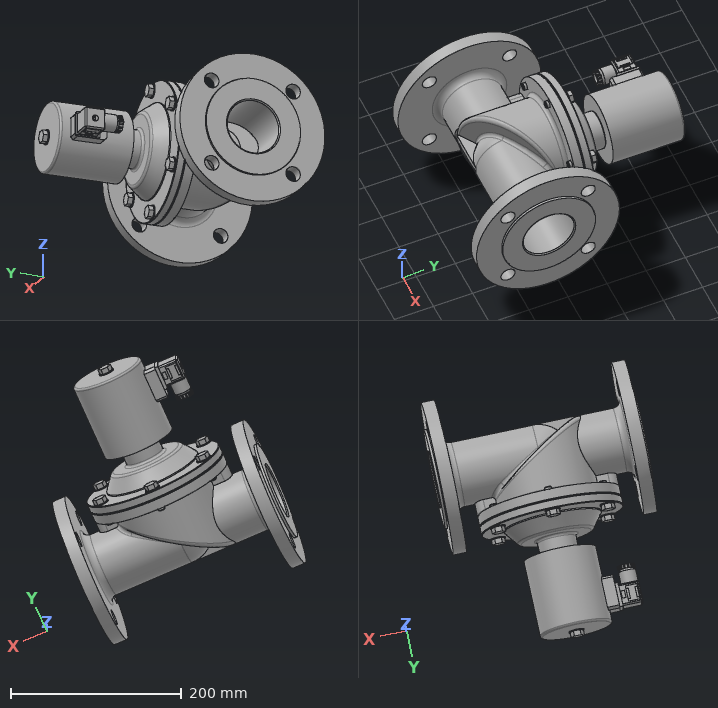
import cadquery as cq
import math


OVERALL_LENGTH = 250.0
OVERALL_HEIGHT = 309.0

PIPE_R = 38.5
WALL = 6.2
BORE_R = PIPE_R - WALL
BORE_CHAMFER = 1.5

FLANGE_R = 91.5
FLANGE_THICK = 16.0
RAISED_FACE_R = 59.3
RAISED_FACE_THICK = 3.0
PIPE_FILLET = 9.0
FLANGE_HOLE_D = 18.0
FLANGE_HOLE_OFFSET = 51.3
PIPE_END_X = OVERALL_LENGTH / 2
FLANGE_FACE_X = PIPE_END_X - RAISED_FACE_THICK
FLANGE_BACK_X = FLANGE_FACE_X - FLANGE_THICK

CHAMBER_R = 61.2
FLOOR_ANGLE = 33.5
FLOOR_Y = -0.5
RIM_FILLET = 4.5
INLET_TRIM = 1.5
FLOOR_FILLET = 4.3
GUSSET_THICK = 9.0
GUSSET_X = -54.7
STRUT_WIDTH = 21.0

COVER_R = 85.0
SEAT_FLANGE_Y = 54.5
SEAT_FLANGE_THICK = 11.7
SEAT_FLANGE_TOP = SEAT_FLANGE_Y + SEAT_FLANGE_THICK
NECK_FILLET = 5.0

GROOVE_DEPTH = 1.5
GROOVE_HEIGHT = 1.5
BONNET_Y = SEAT_FLANGE_TOP + GROOVE_HEIGHT
BONNET_FLANGE_TOP = 77.2
BONNET_TOP = 97.3
BONNET_EDGE_CHAMFER = 1.0
DOME_BASE_R = 58.0
DOME_STEP = 1.5
DOME_TOP_R = 44.5
DOME_FILLET = 5.3
STEM_R = 23.2
STEM_FILLET = 3.0
STEM_CHAMFER = 1.0

BOLT_D = 8.5
BOLT_END_Y = 50.0
BOLT_END_CHAMFER = 1.0
BOLT_CIRCLE_R = 75.7
BOLT_COUNT = 6
HEX_ACROSS_CORNERS = 16.0
HEX_HEIGHT = 6.2
WASHER_D = 18.0
WASHER_THICK = 1.0

COIL_R = 43.3
COIL_Y = 117.7
COIL_TOP = OVERALL_HEIGHT - FLANGE_R - HEX_HEIGHT - WASHER_THICK
COIL_FILLET = 2.5

SOCKET_X = -55.0
SOCKET_BOTTOM = 156.5
SOCKET_TOP = 196.8
SOCKET_WIDTH = 29.7
SOCKET_CHAMFER = 3.0
GASKET_X = -59.0
GASKET_BOTTOM = 167.0
GASKET_TOP = 196.0
GASKET_WIDTH = 28.5
PLUG_X = -83.0
PLUG_BOTTOM = 169.3
PLUG_TOP = 195.0
PLUG_WIDTH = 26.5
PLUG_CHAMFER = 2.0
PLUG_MID_Y = (PLUG_BOTTOM + PLUG_TOP) / 2
SCREW_RECESS_D = 7.0
SCREW_RECESS_DEPTH = 1.2
SCREW_HOLE_D = 3.7
SCREW_HOLE_DEPTH = 4.5
GRIP_X = -73.2
GRIP_LENGTH = 18.5
GRIP_WIDTH = 13.5
GRIP_DEPTH = 0.5
GRIP_SLOT_LENGTH = 12.5
GRIP_SLOT_WIDTH = 2.8
GRIP_SLOT_DEPTH = 2.0
TAB_X = -62.0
TAB_WIDTH = 4.3
TAB_LENGTH = 8.5
TAB_HEIGHT = 0.5
GLAND_R = 10.5
GLAND_X = PLUG_X + GLAND_R
GLAND_BOTTOM = 154.2
WAIST_R = 8.0
NUT_TOP = 151.5
NUT_BOTTOM = 146.5
NUT_NOTCHES = 12
NUT_NOTCH_R = 9.5
NUT_NOTCH_WIDTH = 1.5
NUT_NOTCH_DEPTH = 1.2
CABLE_HOLE_R = 6.0
CABLE_HOLE_DEPTH = 12.5


def cylinder_x(radius, x_start, x_end, y=0, z=0):
    return cq.Workplane("YZ", origin=(x_start, y, z)).circle(radius).extrude(x_end - x_start)


def cylinder_y(radius, y_start, y_end, x=0, z=0):
    return cq.Workplane("XZ", origin=(x, y_start, z)).circle(radius).extrude(y_start - y_end)


def box_between(x_start, x_end, y_start, y_end, width):
    """Box centred on z = 0."""
    height = y_end - y_start
    centre = ((x_start + x_end) / 2, (y_start + y_end) / 2, 0)
    return cq.Workplane("XY", origin=centre).box(x_end - x_start, height, width)


def bolt_places():
    """(x, z) of each bolt axis."""
    places = []
    for i in range(BOLT_COUNT):
        angle = math.radians(90 + i * 360 / BOLT_COUNT)
        places.append((BOLT_CIRCLE_R * math.cos(angle), BOLT_CIRCLE_R * math.sin(angle)))
    return places


def hex_on_washer(x, y, z):
    """Washer lying at height y with a hexagon on it, corners pointing along X."""
    washer = cylinder_y(WASHER_D / 2, y, y + WASHER_THICK, x, z)
    hexagon = (
        cq.Workplane("XZ", origin=(x, y + WASHER_THICK, z))
        .polygon(6, HEX_ACROSS_CORNERS)
        .extrude(-HEX_HEIGHT)
    )
    return washer.union(hexagon)


def above_floor(offset):
    """Everything above the sloping floor plane, raised by `offset` along its normal."""
    slope = math.tan(math.radians(FLOOR_ANGLE))
    middle = FLOOR_Y + offset / math.cos(math.radians(FLOOR_ANGLE))
    reach = 2 * FLANGE_R
    corners = [
        (-reach, middle - slope * reach),
        (reach, middle + slope * reach),
        (-reach, middle + slope * reach),
    ]
    return cq.Workplane("XY").polyline(corners).close().extrude(reach, both=True)


def round_chamber():
    """Chamber wall with a filleted neck under the flange that carries the bonnet."""
    return (
        cq.Workplane("XY")
        .moveTo(0, -FLANGE_R)
        .lineTo(CHAMBER_R, -FLANGE_R)
        .lineTo(CHAMBER_R, SEAT_FLANGE_Y - NECK_FILLET)
        .radiusArc((CHAMBER_R + NECK_FILLET, SEAT_FLANGE_Y), NECK_FILLET)
        .lineTo(COVER_R, SEAT_FLANGE_Y)
        .lineTo(COVER_R, SEAT_FLANGE_TOP)
        .lineTo(0, SEAT_FLANGE_TOP)
        .close()
        .revolve(360, (0, 0, 0), (0, 1, 0))
    )


def chamber_outside():
    """Round chamber with a sloping underside, blended into the outlet elbow below it."""
    slope = math.tan(math.radians(FLOOR_ANGLE))
    chamber = round_chamber().intersect(above_floor(0))
    rim_centre = (0, FLOOR_Y, 0)
    chamber = chamber.edges(cq.selectors.NearestToPointSelector(rim_centre)).fillet(RIM_FILLET)

    elbow = cylinder_x(PIPE_R, 0, FLANGE_BACK_X).union(cq.Workplane("XY").sphere(PIPE_R))
    elbow_back = (-PIPE_R / 2, FLOOR_Y - slope * PIPE_R / 2, 0)
    chamber = chamber.union(elbow)
    return chamber.edges(cq.selectors.NearestToPointSelector(elbow_back)).fillet(FLOOR_FILLET)


def pipe_half(side):
    """Pipe stub with its flange on one side; side is -1 for the inlet and 1 for the outlet.

    The inlet stub ends inside the chamber floor, so that the rounded rim shows below it.
    """
    end = side * PIPE_END_X
    face = side * FLANGE_FACE_X
    back = side * FLANGE_BACK_X
    flange = cylinder_x(FLANGE_R, back, face).union(cylinder_x(RAISED_FACE_R, face, end))
    holes = (
        cq.Workplane("YZ", origin=(back, 0, 0))
        .rect(2 * FLANGE_HOLE_OFFSET, 2 * FLANGE_HOLE_OFFSET, forConstruction=True)
        .vertices()
        .circle(FLANGE_HOLE_D / 2)
        .extrude(face - back)
    )
    root = (
        cq.Workplane("XY")
        .moveTo(back, 0)
        .lineTo(back, PIPE_R + PIPE_FILLET)
        .radiusArc((back - side * PIPE_FILLET, PIPE_R), side * PIPE_FILLET)
        .lineTo(back - side * PIPE_FILLET, 0)
        .close()
        .revolve(360, (0, 0, 0), (1, 0, 0))
    )
    pipe = cylinder_x(PIPE_R, 0, back)
    if side < 0:
        pipe = pipe.intersect(above_floor(INLET_TRIM))
    return pipe.union(root).union(flange.cut(holes))


def strut():
    """Round-ended rib along X that ties the flange to both pipe stubs."""
    return cq.Workplane("XZ").slot2D(2 * COVER_R, STRUT_WIDTH).extrude(-SEAT_FLANGE_Y)


def gusset():
    """Flat rib between the sloping floor and the outlet elbow, rooted halfway into the floor."""
    block = box_between(GUSSET_X, 0, -PIPE_R, 0, GUSSET_THICK)
    return block.cut(above_floor(WALL / 2))


def flow_passage():
    """Inlet bore and chamber round the seat tube, then the seat tube and outlet bore."""
    seat_tube = cylinder_y(PIPE_R, -PIPE_R, SEAT_FLANGE_Y).union(cylinder_x(PIPE_R, 0, PIPE_END_X))
    chamber = cylinder_y(CHAMBER_R - WALL, -FLANGE_R, SEAT_FLANGE_TOP)
    inlet = chamber.union(cylinder_x(BORE_R, -PIPE_END_X, 0))
    inlet = inlet.intersect(above_floor(WALL)).cut(seat_tube)
    outlet = cylinder_x(BORE_R, 0, PIPE_END_X).union(cylinder_y(BORE_R, 0, SEAT_FLANGE_Y))
    outlet = outlet.union(cq.Workplane("XY").sphere(BORE_R))
    return inlet.union(outlet)


def bore_mouth(side):
    """Chamfer cutter for the open end of the bore."""
    end = side * PIPE_END_X
    return (
        cq.Workplane("XY")
        .moveTo(end, 0)
        .lineTo(end, BORE_R + BORE_CHAMFER)
        .lineTo(end - side * BORE_CHAMFER, BORE_R)
        .lineTo(end - side * BORE_CHAMFER, 0)
        .close()
        .revolve(360, (0, 0, 0), (1, 0, 0))
    )


def make_valve_body():
    body = chamber_outside().union(gusset()).union(strut())
    for side in (-1, 1):
        body = body.union(pipe_half(side))
    body = body.cut(flow_passage())
    for side in (-1, 1):
        body = body.cut(bore_mouth(side))
    for x, z in bolt_places():
        body = body.cut(cylinder_y(BOLT_D / 2, BOLT_END_Y, SEAT_FLANGE_TOP, x, z))
    return body


def bonnet_shell():
    flange = cylinder_y(COVER_R, BONNET_Y, BONNET_FLANGE_TOP).faces(">Y").chamfer(BONNET_EDGE_CHAMFER)
    lip = cylinder_y(COVER_R - GROOVE_DEPTH, SEAT_FLANGE_TOP, BONNET_Y)
    dome = (
        cq.Workplane("XY")
        .moveTo(0, BONNET_FLANGE_TOP)
        .lineTo(DOME_BASE_R, BONNET_FLANGE_TOP)
        .lineTo(DOME_BASE_R, BONNET_FLANGE_TOP + DOME_STEP)
        .lineTo(DOME_TOP_R, BONNET_TOP)
        .lineTo(0, BONNET_TOP)
        .close()
        .revolve(360, (0, 0, 0), (0, 1, 0))
        .edges(">Y")
        .fillet(DOME_FILLET)
    )
    stem = cylinder_y(STEM_R, BONNET_TOP, COIL_Y).faces(">Y").chamfer(STEM_CHAMFER)
    top = dome.union(stem)
    stem_root = cq.selectors.NearestToPointSelector((0, BONNET_TOP, 0))
    top = top.edges(stem_root).fillet(STEM_FILLET)
    return flange.union(lip).union(top)


def bolt(x, z):
    shank = cylinder_y(BOLT_D / 2, BOLT_END_Y, BONNET_FLANGE_TOP, x, z)
    shank = shank.faces("<Y").chamfer(BOLT_END_CHAMFER)
    return shank.union(hex_on_washer(x, BONNET_FLANGE_TOP, z))


def make_bonnet():
    bonnet = bonnet_shell()
    for x, z in bolt_places():
        bonnet = bonnet.union(bolt(x, z))
    return bonnet


def socket():
    """Block on the coil that carries the plug, with a thin gasket on its outer side."""
    block = box_between(SOCKET_X, 0, SOCKET_BOTTOM, SOCKET_TOP, SOCKET_WIDTH)
    block = block.edges("|X").chamfer(SOCKET_CHAMFER)
    gasket = box_between(GASKET_X, SOCKET_X, GASKET_BOTTOM, GASKET_TOP, GASKET_WIDTH)
    return block.union(gasket)


def plug_housing():
    housing = box_between(PLUG_X, GASKET_X, PLUG_BOTTOM, PLUG_TOP, PLUG_WIDTH)
    housing = housing.edges("|X or <X").chamfer(PLUG_CHAMFER)
    recess = cylinder_x(SCREW_RECESS_D / 2, PLUG_X, PLUG_X + SCREW_RECESS_DEPTH, PLUG_MID_Y)
    hole = cylinder_x(SCREW_HOLE_D / 2, PLUG_X, PLUG_X + SCREW_HOLE_DEPTH, PLUG_MID_Y)
    return housing.cut(recess).cut(hole)


def plug_grip(side):
    """Shallow recess with two slots along its edges, cut into the +Z or -Z side."""
    face = cq.Workplane("XY", origin=(GRIP_X, PLUG_MID_Y, side * PLUG_WIDTH / 2))
    grip = face.rect(GRIP_WIDTH, GRIP_LENGTH).extrude(-side * GRIP_DEPTH)
    slot_offset = (GRIP_WIDTH - GRIP_SLOT_WIDTH) / 2
    slots = (
        face.pushPoints([(-slot_offset, 0), (slot_offset, 0)])
        .rect(GRIP_SLOT_WIDTH, GRIP_SLOT_LENGTH)
        .extrude(-side * GRIP_SLOT_DEPTH)
    )
    return grip.union(slots)


def plug_tabs():
    centre = (TAB_X, PLUG_MID_Y, 0)
    return cq.Workplane("XY", origin=centre).box(TAB_WIDTH, TAB_LENGTH, PLUG_WIDTH + 2 * TAB_HEIGHT)


def cable_gland():
    """Cable outlet below the plug: barrel, tapered waist and a notched hexagon nut."""
    barrel = (
        cq.Workplane("XY")
        .moveTo(GLAND_X, PLUG_MID_Y)
        .lineTo(GLAND_X + GLAND_R, PLUG_MID_Y)
        .lineTo(GLAND_X + GLAND_R, GLAND_BOTTOM)
        .lineTo(GLAND_X + WAIST_R, NUT_TOP)
        .lineTo(GLAND_X, NUT_TOP)
        .close()
        .revolve(360, (GLAND_X, 0, 0), (GLAND_X, 1, 0))
    )
    nut_plane = cq.Workplane("XZ", origin=(GLAND_X, NUT_BOTTOM, 0))
    nut_height = NUT_TOP - NUT_BOTTOM
    nut = nut_plane.polygon(6, 2 * GLAND_R).extrude(-nut_height)
    notch_spacing = 360 / NUT_NOTCHES
    notches = (
        nut_plane.polarArray(NUT_NOTCH_R, notch_spacing / 2, 360, NUT_NOTCHES)
        .rect(2 * NUT_NOTCH_DEPTH, NUT_NOTCH_WIDTH)
        .extrude(-nut_height)
    )
    cable_hole = cylinder_y(CABLE_HOLE_R, NUT_BOTTOM, NUT_BOTTOM + CABLE_HOLE_DEPTH, GLAND_X)
    return barrel.union(nut.cut(notches)).cut(cable_hole)


def make_coil():
    can = cylinder_y(COIL_R, COIL_Y, COIL_TOP).faces(">Y").edges().fillet(COIL_FILLET)
    plug = plug_housing().union(plug_tabs()).cut(plug_grip(1)).cut(plug_grip(-1))
    coil = can.union(socket()).union(plug).union(cable_gland())
    return coil.union(hex_on_washer(0, COIL_TOP, 0))


valve_body = make_valve_body()
bonnet = make_bonnet()
coil = make_coil()

result = cq.Compound.makeCompound([valve_body.val(), bonnet.val(), coil.val()])